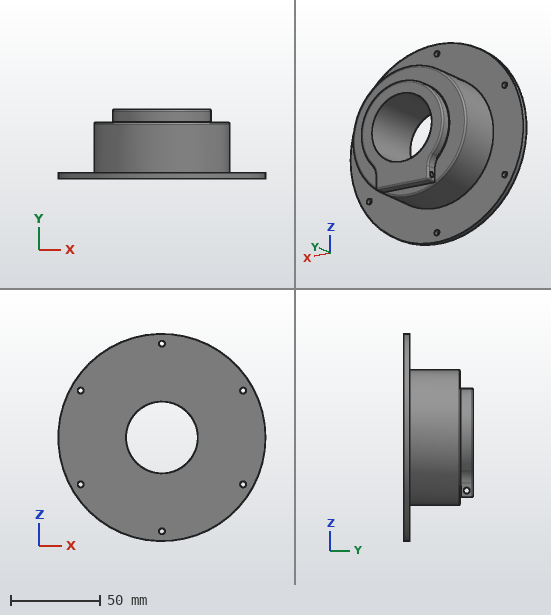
import cadquery as cq
import math

flange_diameter = 116.0
flange_thickness = 3.5
hub_diameter = 76.0
hub_end = 31.5
collar_diameter = 55.0
total_length = 39.0
bore_diameter = 40.0
rim_fillet = 1.0
neck_diameter = 54.0
neck_length = 0.5

flange_hole_diameter = 3.2
flange_hole_circle_radius = 52.4
flange_hole_count = 6

lug_bottom = 33.4
lug_blend_radius = 10.0
lug_half_width = 17.6
lug_corner_radius = 0.7
lug_hole_diameter = 3.2
lug_hole_drop = 29.7

collar_radius = collar_diameter / 2
collar_start = hub_end + neck_length
collar_length = total_length - collar_start


def disc(diameter, start, end):
    """Cylinder about the Y axis between two Y positions."""
    return cq.Workplane("XZ", origin=(0, start, 0)).circle(diameter / 2).extrude(start - end)


def make_collar():
    """Collar with a clamping lug blended into its underside."""
    centre_x = lug_half_width + lug_blend_radius
    centre_distance = collar_radius + lug_blend_radius
    centre_z = -math.sqrt(centre_distance**2 - centre_x**2)
    touch_x = centre_x * collar_radius / centre_distance
    touch_z = centre_z * collar_radius / centre_distance
    towards_axis = math.atan2(-centre_z, -centre_x)
    middle_angle = (towards_axis + math.pi) / 2
    middle_x = centre_x + lug_blend_radius * math.cos(middle_angle)
    middle_z = centre_z + lug_blend_radius * math.sin(middle_angle)
    lug = (
        cq.Workplane("XZ", origin=(0, collar_start, 0))
        .moveTo(touch_x, touch_z)
        .threePointArc((middle_x, middle_z), (lug_half_width, centre_z))
        .lineTo(lug_half_width, -lug_bottom)
        .lineTo(-lug_half_width, -lug_bottom)
        .lineTo(-lug_half_width, centre_z)
        .threePointArc((-middle_x, middle_z), (-touch_x, touch_z))
        .close()
        .extrude(-collar_length)
        .edges("|Y and <Z")
        .fillet(lug_corner_radius)
    )
    collar = disc(collar_diameter, collar_start, total_length).union(lug)
    return collar.faces(">Y").edges().fillet(rim_fillet)


def make_flange_holes():
    """Ring of screw holes through the flange, one of them straight above the axis."""
    return (
        cq.Workplane("XZ")
        .polarArray(flange_hole_circle_radius, 90, 360, flange_hole_count)
        .circle(flange_hole_diameter / 2)
        .extrude(-flange_thickness)
    )


def make_lug_hole():
    """Clamp screw hole running along X through the whole lug."""
    middle_y = (hub_end + total_length) / 2
    return (
        cq.Workplane("YZ", origin=(-lug_half_width, middle_y, -lug_hole_drop))
        .circle(lug_hole_diameter / 2)
        .extrude(2 * lug_half_width)
    )


flange = disc(flange_diameter, 0, flange_thickness)
hub = disc(hub_diameter, flange_thickness, hub_end).faces(">Y").edges().fillet(rim_fillet)
neck = disc(neck_diameter, hub_end, collar_start)

result = (
    flange.union(hub)
    .union(neck)
    .union(make_collar())
    .cut(disc(bore_diameter, 0, total_length))
    .cut(make_flange_holes())
    .cut(make_lug_hole())
)